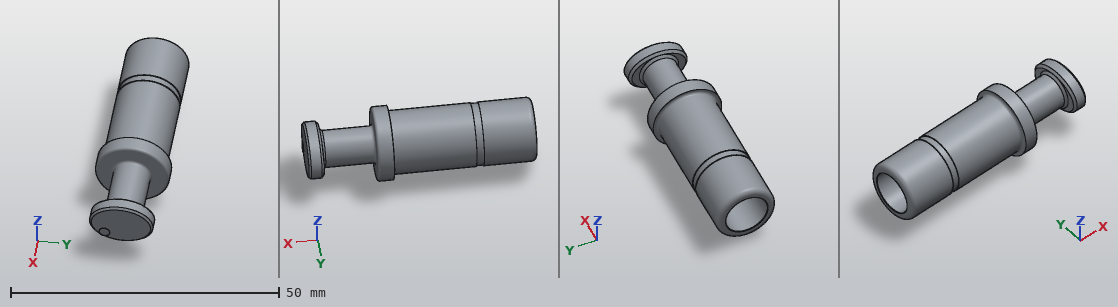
import cadquery as cq

body_diameter = 12.0
body_nose_radius = 1.0
groove_diameter = 11.7
groove_start = 10.0
groove_width = 1.4

bore_diameter = 8.5
bore_mouth_chamfer = 0.1

flange_diameter = 14.0
flange_start = 27.0
flange_thickness = 3.0
flange_edge_radius = 0.5
root_radius = 0.5

stem_diameter = 7.0
stem_length = 10.0
stem_flare = 0.5

head_width = 12.0
head_height = 9.0
head_thickness = 2.9
head_inner_chamfer = 0.5
head_outer_chamfer = 0.4

mark_diameter = 2.0
mark_thickness = 0.1
mark_y = -3.1
mark_z = -2.3

flange_end = flange_start + flange_thickness
head_start = flange_end + stem_length
head_end = head_start + head_thickness


def plane_at(x):
    """Plane across the axis at station x: local x is Y and local y is Z."""
    return cq.Workplane("YZ", origin=(x, 0, 0))


def cylinder(start, end, diameter):
    return plane_at(start).circle(diameter / 2).extrude(end - start)


def flare(start, end, start_diameter, end_diameter):
    """Solid cone frustum along the axis."""
    profile = [
        (start, 0),
        (start, start_diameter / 2),
        (end, end_diameter / 2),
        (end, 0),
    ]
    return cq.Workplane("XY").polyline(profile).close().revolve(360, (0, 0), (1, 0))


def root_fillet(shoulder, diameter, direction):
    """Concave fillet from a cylinder to a shoulder; direction points from the shoulder along the cylinder."""
    radius = diameter / 2
    tangent_point = (shoulder + direction * root_radius, radius)
    shoulder_point = (shoulder, radius + root_radius)
    return (
        cq.Workplane("XY")
        .moveTo(shoulder, 0)
        .lineTo(*shoulder_point)
        .radiusArc(tangent_point, -direction * root_radius)
        .lineTo(tangent_point[0], 0)
        .close()
        .revolve(360, (0, 0), (1, 0))
    )


def make_body():
    """Plug body with a rounded nose and a shallow ring groove."""
    body = cylinder(0, flange_start, body_diameter).faces("<X").edges().fillet(body_nose_radius)
    groove_end = groove_start + groove_width
    groove = cylinder(groove_start, groove_end, body_diameter).cut(
        cylinder(groove_start, groove_end, groove_diameter)
    )
    return body.cut(groove)


def make_flange():
    flange = cylinder(flange_start, flange_end, flange_diameter)
    return flange.faces(">X").edges().fillet(flange_edge_radius)


def make_stem_flare():
    """Cone widening the stem where it meets the head."""
    return flare(head_start - stem_flare, head_start, stem_diameter, stem_diameter + 2 * stem_flare)


def make_head():
    """Elliptical grip, chamfered on its stem side and on its outer face."""
    head = plane_at(head_start).ellipse(head_width / 2, head_height / 2).extrude(head_thickness)
    head = head.faces("<X").edges().chamfer(head_inner_chamfer)
    return head.faces(">X").edges().chamfer(head_outer_chamfer)


def make_mark():
    """Low raised pad on the outer face of the head."""
    pad = plane_at(head_end).center(mark_y, mark_z)
    return pad.circle(mark_diameter / 2).extrude(mark_thickness)


def make_bore():
    """Blind bore ending level with the flange, with a slight lead-in at its mouth."""
    mouth_diameter = bore_diameter + 2 * bore_mouth_chamfer
    bore = cylinder(0, flange_start, bore_diameter)
    return bore.union(flare(0, bore_mouth_chamfer, mouth_diameter, bore_diameter))


result = (
    make_body()
    .union(make_flange())
    .union(cylinder(flange_end, head_start, stem_diameter))
    .union(make_head())
    .union(root_fillet(flange_start, body_diameter, -1))
    .union(root_fillet(flange_end, stem_diameter, 1))
    .union(make_stem_flare())
    .union(make_mark())
    .cut(make_bore())
)